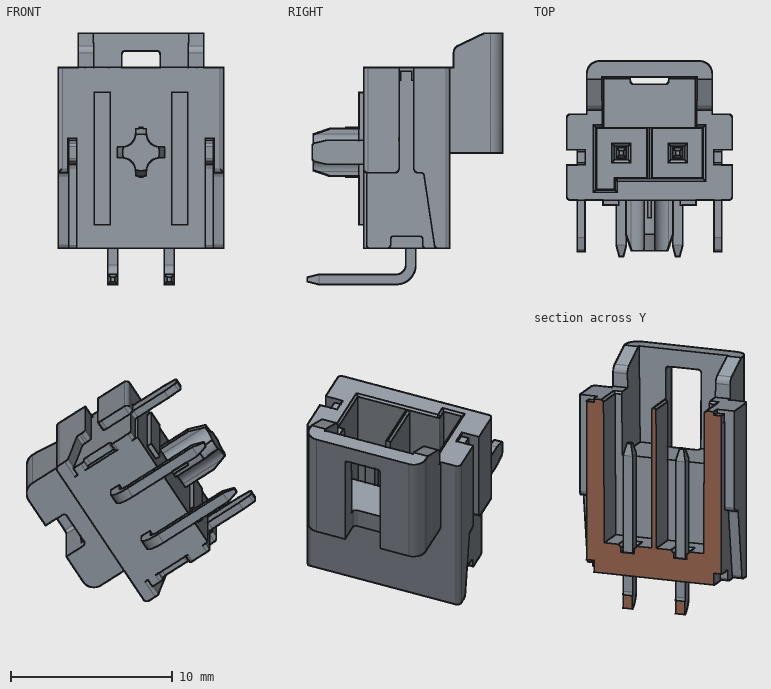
import cadquery as cq
import math


body_width = 10.3
body_depth = 5.35
body_height = 11.23
body_edge_radius = 0.25
side_x = body_width / 2

latch_width = 7.8
latch_back = 8.65
latch_bottom = 5.92
latch_top = 13.37
latch_corner_radius = 0.8
latch_cheek_front = 5.58
latch_slope_start = 7.5
latch_slope_end = 12.45
latch_cheek_radius = 0.5
latch_floor = 7.2
latch_pocket_width = 5.92
latch_pocket_back = 7.65
latch_pocket_draft = 1.0
window_width = 2.36
window_top = 12.25
window_front = 7.2
window_radius = 0.2

cavity_width = 6.7
cavity_front = 1.33
cavity_back = 4.54
key_width = 1.22
key_front = 0.62
cavity_floor = 2.0
cavity_draft = 0.4
mouth_chamfer = 0.14
divider_shoulder_width = 0.3
divider_base_width = 0.36
divider_peak = 11.1

pin_pitch = 3.5
pin_size = 0.64
pin_y = 2.93
pin_top = 8.5
pin_bottom = -2.25
pin_front = -3.51
pin_bend_radius = 1.23
pin_point_length = 0.73
pin_point_size = 0.27
pin_well_size = 1.2
pin_well_inner_size = 0.86
pin_well_chamfer_depth = 0.2
pin_well_depth = 0.5

nail_inner_x = 4.0
nail_thickness = 0.5
nail_slot_thickness = 0.55
nail_radius = 0.2
channel_radius = 0.28
channel_front = 2.2
channel_back = 3.12
recess_top = 4.69
recess_back_top = 3.73
recess_back_bottom = 4.43
recess_rim_radius = 0.25
nail_front = 0.19
nail_shoulder = 10.45
nail_top = 11.01
nail_neck_inset = 0.12
nail_notch_front = 1.67
nail_notch_back = 3.67
nail_notch_height = 0.76
tail_bottom = 5.22
tail_top = 6.71
tail_tip = -3.2
tail_taper_start = -2.3
tail_taper = 0.21
tail_slot_top = 6.83

pad_width = 0.98
pad_spacing = 4.82
pad_bottom = 1.46
pad_top = 9.69
pad_height = 0.3

peg_z = 5.96
peg_length = 3.14
peg_taper_start = 2.1
peg_radius = 1.49
peg_tip_radius = 1.14
peg_arm_half_width = 0.34
peg_flute_radius = 0.82
crush_ridge_half_width = 0.1
crush_ridge_height = 0.06
crush_ridge_length = 1.1


def box(x0, x1, y0, y1, z0, z1):
    """Box between two opposite corners."""
    return cq.Workplane("XY").box(x1 - x0, y1 - y0, z1 - z0, centered=False).translate((x0, y0, z0))


def extrude_yz(points, x0, x1):
    """Extrude a closed (Y, Z) outline between two X positions."""
    return cq.Workplane("YZ", origin=(x0, 0, 0)).polyline(points).close().extrude(x1 - x0)


def horizontal_square(size, center, z):
    """Square wire lying at height z."""
    return cq.Workplane("XY", origin=(*center, z)).rect(size, size)


def make_latch():
    """Solid block of the latch bracket, with sloped and rounded cheek tops."""
    half = latch_width / 2
    profile = [
        (cavity_back, latch_bottom),
        (latch_back, latch_bottom),
        (latch_back, latch_top),
        (latch_slope_start, latch_top),
        (latch_cheek_front, latch_slope_end),
        (latch_cheek_front, body_height),
        (cavity_back, body_height),
    ]
    latch = extrude_yz(profile, -half, half)
    latch = latch.edges("|Z and >Y").fillet(latch_corner_radius)
    nose = cq.selectors.NearestToPointSelector((0, latch_cheek_front, latch_slope_end))
    return latch.edges(nose).fillet(latch_cheek_radius)


def make_latch_pocket():
    """Drafted pocket inside the bracket, narrowing downwards and open to the mating cavity."""
    length = latch_pocket_back - pin_y
    return (
        cq.Workplane("XY", origin=(0, pin_y + length / 2, latch_top))
        .rect(latch_pocket_width, length)
        .extrude(latch_floor - latch_top, taper=latch_pocket_draft)
    )


def make_latch_window():
    """Opening through the bracket's back wall and the rear of its floor."""
    half = window_width / 2
    window = box(-half, half, window_front, latch_back, latch_bottom, window_top)
    return window.edges("(|Y and >Z) or (|Z and <Y)").fillet(window_radius)


def cavity_outline(margin, z):
    """Plan outline of the mating cavity with its polarising key, grown by a margin."""
    left = -cavity_width / 2 - margin
    right = cavity_width / 2 + margin
    key_right = -cavity_width / 2 + key_width + margin
    points = [
        (left, key_front - margin),
        (key_right, key_front - margin),
        (key_right, cavity_front - margin),
        (right, cavity_front - margin),
        (right, cavity_back + margin),
        (left, cavity_back + margin),
    ]
    return cq.Workplane("XY", origin=(0, 0, z)).polyline(points).close()


def make_cavity():
    cavity = cavity_outline(0, body_height).extrude(cavity_floor - body_height, taper=cavity_draft)
    mouth = cavity_outline(mouth_chamfer, body_height).extrude(-mouth_chamfer, taper=45)
    return cavity.union(mouth)


def make_divider():
    """Drafted rib between the two contacts, with a ridged top sloping at 45 degrees."""
    base = divider_base_width / 2
    shoulder = divider_shoulder_width / 2
    shoulder_z = divider_peak - shoulder
    points = [
        (-base, cavity_floor),
        (base, cavity_floor),
        (shoulder, shoulder_z),
        (0, divider_peak),
        (-shoulder, shoulder_z),
    ]
    back = cavity_back - (body_height - latch_floor) * math.tan(math.radians(cavity_draft))
    length = back - cavity_front + mouth_chamfer
    return cq.Workplane("XZ", origin=(0, back, 0)).polyline(points).close().extrude(length)


def make_pin_well(x):
    """Square well with sloped sides around the foot of a contact pin."""
    center = (x, pin_y)
    funnel = (
        horizontal_square(pin_well_size, center, cavity_floor)
        .workplane(offset=-pin_well_chamfer_depth)
        .rect(pin_well_inner_size, pin_well_inner_size)
        .loft(ruled=True)
    )
    well = horizontal_square(pin_well_inner_size, center, cavity_floor).extrude(-pin_well_depth)
    return funnel.union(well)


def make_pin_point(plane):
    """Pyramid-shaped pin end growing along the plane's normal."""
    return (
        cq.Workplane(plane)
        .rect(pin_size, pin_size)
        .workplane(offset=pin_point_length)
        .rect(pin_point_size, pin_point_size)
        .loft(ruled=True)
    )


def make_pin(x):
    """Right-angle pin swept down through the floor and bent towards -Y."""
    mid_radius = pin_bend_radius - pin_size / 2
    leg_z = pin_bottom + pin_size / 2
    bend_z = leg_z + mid_radius
    bend_y = pin_y - mid_radius
    diagonal = mid_radius * math.sqrt(0.5)
    upper_end = pin_top - pin_point_length
    lower_end = pin_front + pin_point_length
    path = (
        cq.Workplane("YZ", origin=(x, 0, 0))
        .moveTo(pin_y, upper_end)
        .lineTo(pin_y, bend_z)
        .threePointArc((bend_y + diagonal, bend_z - diagonal), (bend_y, leg_z))
        .lineTo(lower_end, leg_z)
    )
    pin = horizontal_square(pin_size, (x, pin_y), upper_end).sweep(path)
    upper_point = make_pin_point(cq.Plane((x, pin_y, upper_end), (1, 0, 0), (0, 0, 1)))
    lower_point = make_pin_point(cq.Plane((x, lower_end, leg_z), (1, 0, 0), (0, -1, 0)))
    return pin.union(upper_point).union(lower_point)


def round_edges(solid, x, corners, radius):
    """Round the X-direction edges lying at the given (Y, Z) corners."""
    for y, z in corners:
        solid = solid.edges("|X").edges(cq.selectors.NearestToPointSelector((x, y, z))).fillet(radius)
    return solid


def recess_points(front, top):
    """Side outline shared by a recess and its nail: a narrow channel over a wide foot."""
    return [
        (front, 0),
        (recess_back_bottom, 0),
        (recess_back_top, recess_top),
        (channel_back, recess_top),
        (channel_back, top),
        (channel_front, top),
        (channel_front, recess_top),
        (front, recess_top),
    ]


def make_side_recess():
    """Recess in the +X side, running from the nail's inner face out through the side."""
    recess = extrude_yz(recess_points(0, body_height), nail_inner_x, side_x)
    mid_x = (nail_inner_x + side_x) / 2
    channel_corners = [(channel_back, recess_top), (channel_front, recess_top)]
    recess = round_edges(recess, mid_x, [(recess_back_top, recess_top)], nail_radius)
    recess = round_edges(recess, mid_x, channel_corners, channel_radius)
    tail_slot = box(
        nail_inner_x, nail_inner_x + nail_slot_thickness, 0, channel_front, 0, tail_slot_top
    )
    rim_end = recess_top + recess_rim_radius
    flare = box(nail_inner_x + nail_slot_thickness, side_x, 0, recess_rim_radius, recess_top, rim_end)
    rim_round = (
        cq.Workplane("YZ", origin=(nail_inner_x, 0, 0))
        .center(recess_rim_radius, rim_end)
        .circle(recess_rim_radius)
        .extrude(side_x - nail_inner_x)
    )
    return recess.union(tail_slot).union(flare.cut(rim_round))


def make_nail():
    """Flat solder nail on the +X side, with its tail pointing towards -Y."""
    outer_x = nail_inner_x + nail_thickness
    mid_x = (nail_inner_x + outer_x) / 2
    blade = extrude_yz(recess_points(nail_front, nail_shoulder), nail_inner_x, outer_x)
    blade_corners = [(recess_back_top, recess_top), (nail_front, 0)]
    blade = round_edges(blade, mid_x, blade_corners, nail_radius)
    blade = round_edges(blade, mid_x, [(channel_back, recess_top)], channel_radius)

    neck = box(
        nail_inner_x, outer_x,
        channel_front + nail_neck_inset, channel_back - nail_neck_inset,
        recess_top, nail_top,
    )
    web = box(nail_inner_x, outer_x, nail_front, channel_back, nail_notch_height, tail_top)
    tail_points = [
        (channel_back, tail_bottom),
        (tail_taper_start, tail_bottom),
        (tail_tip, tail_bottom + tail_taper),
        (tail_tip, tail_top - tail_taper),
        (tail_taper_start, tail_top),
        (channel_back, tail_top),
    ]
    tail = extrude_yz(tail_points, nail_inner_x, outer_x)
    tip_corners = [(tail_tip, tail_bottom + tail_taper), (tail_tip, tail_top - tail_taper)]
    tail = round_edges(tail, mid_x, tip_corners, nail_radius)

    notch = box(nail_inner_x, outer_x, nail_notch_front, nail_notch_back, 0, nail_notch_height)
    notch = notch.edges("|X and >Z").fillet(nail_radius)
    nail = blade.union(neck).union(web).union(tail).cut(notch)
    foot_corners = [(nail_notch_front, 0), (nail_notch_back, 0), (nail_front, tail_bottom)]
    return round_edges(nail, mid_x, foot_corners, nail_radius)


def make_pad(x):
    half = pad_width / 2
    return box(x - half, x + half, -pad_height, 0, pad_bottom, pad_top)


def make_peg():
    """Cross-shaped peg with round flutes, a tapered end and two crush ridges."""
    mounting_plane = cq.Workplane("XZ", origin=(0, 0, peg_z))
    shank = mounting_plane.circle(peg_radius).extrude(peg_taper_start)
    taper = (
        mounting_plane.workplane(offset=peg_taper_start)
        .circle(peg_radius)
        .workplane(offset=peg_length - peg_taper_start)
        .circle(peg_tip_radius)
        .loft()
    )
    arm_width = 2 * peg_arm_half_width
    reach = 2 * peg_radius
    core_size = arm_width + 2 * peg_flute_radius
    flute_center = peg_arm_half_width + peg_flute_radius
    corners = [(sx * flute_center, sz * flute_center) for sx in (-1, 1) for sz in (-1, 1)]
    core = mounting_plane.rect(core_size, core_size).extrude(peg_length)
    flutes = mounting_plane.pushPoints(corners).circle(peg_flute_radius).extrude(peg_length)
    cross = (
        core.cut(flutes)
        .union(mounting_plane.rect(arm_width, reach).extrude(peg_length))
        .union(mounting_plane.rect(reach, arm_width).extrude(peg_length))
    )
    peg = shank.union(taper).intersect(cross)
    ridge_height = 2 * (peg_radius + crush_ridge_height)
    ridges = mounting_plane.rect(2 * crush_ridge_half_width, ridge_height).extrude(crush_ridge_length)
    return peg.union(ridges)


def make_housing():
    body = box(-side_x, side_x, 0, body_depth, 0, body_height)
    body = body.edges("|Z").fillet(body_edge_radius)
    housing = body.union(make_latch())
    housing = housing.cut(make_cavity()).cut(make_latch_pocket()).cut(make_latch_window())
    recess = make_side_recess()
    housing = housing.cut(recess).cut(recess.mirror("YZ"))
    for x in (-side_x, side_x):
        housing = round_edges(housing, x, [(recess_back_bottom, 0)], recess_rim_radius)
    return housing.union(make_divider())


result = make_housing().union(make_peg())
for side in (-1, 1):
    pin_x = side * pin_pitch / 2
    result = result.cut(make_pin_well(pin_x)).union(make_pin(pin_x))
    result = result.union(make_pad(side * pad_spacing / 2))
nail = make_nail()
result = result.union(nail).union(nail.mirror("YZ"))